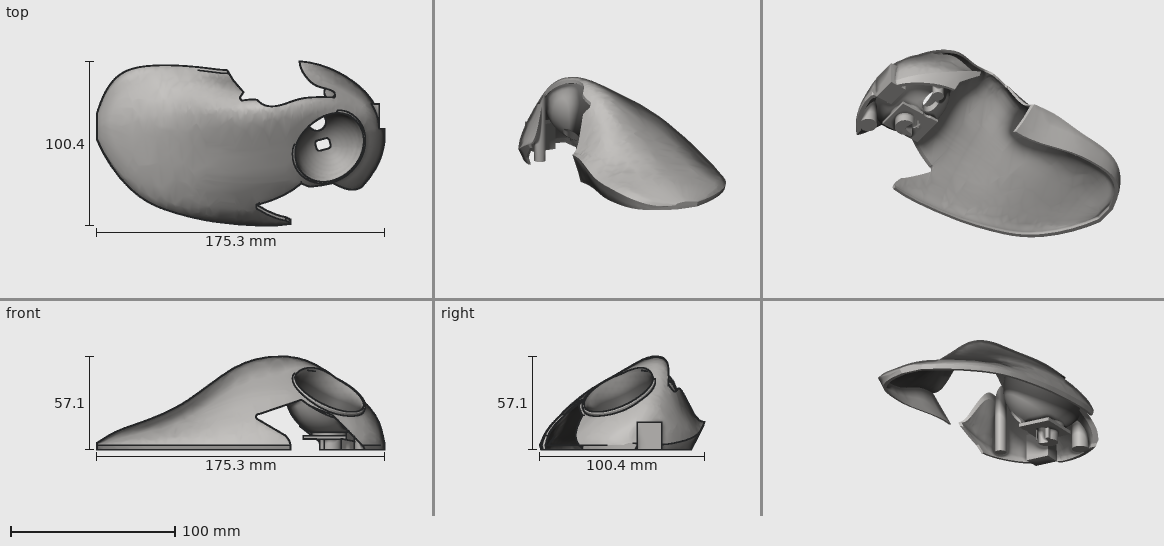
import cadquery as cq
import math

length = 175.3
wall = 2.1
band_height = 2.8
band_inset = 0.9
undercut = 0.5
below_base = -1.8
slope_power = 1.4
slope_steps = 5
min_crest = 0.5
min_back_drop = 0.4
back_steps = 4

stations = [
    (0.0, 52.6, 61.4, 4.2, 68.4, 2.8, 1.0),
    (3.5, 45.2, 61.4, 6.3, 78.0, 2.8, 1.0),
    (11.4, 32.8, 63.1, 10.9, 90.0, 6.1, 0.8),
    (28.0, 16.5, 64.9, 17.2, 97.1, 10.5, 0.5),
    (47.3, 8.0, 68.4, 25.5, 97.8, 13.1, 0.3),
    (66.6, 3.3, 71.9, 37.7, 96.2, 19.3, 0.0),
    (84.1, 1.0, 71.9, 49.5, 95.0, 20.2, 0.0),
    (105.2, 0.0, 73.6, 56.0, 99.0, 21.0, 0.0),
    (124.5, 2.6, 75.4, 54.7, 100.3, 16.7, 0.0),
    (143.7, 11.4, 73.6, 44.7, 95.2, 8.8, 0.3),
    (157.8, 20.2, 68.4, 33.7, 86.8, 5.3, 0.7),
    (166.5, 29.8, 64.9, 25.2, 78.0, 3.5, 1.0),
    (172.1, 39.5, 59.6, 16.1, 67.5, 3.2, 1.0),
    (length, 50.8, 55.2, 4.2, 59.6, 3.2, 1.0),
]

front_notch_depth = 45.5
front_notch_lower = [
    (163.9, below_base), (118.2, below_base), (118.2, 2.8), (117.3, 5.6), (115.2, 8.6), (98.2, 18.5)
]
front_notch_root = [(97.1, 20.3), (99.0, 21.7)]
front_notch_upper = [(124.6, 30.5), (129.7, 26.8), (143.7, 21.0), (162.5, 2.0)]

notch_top_z = 70.1
back_notch_y = 105.2
back_notch_palm = [
    (79.2, 95.2), (83.3, 88.5), (89.4, 81.5), (87.1, 78.0), (88.2, 76.5), (93.8, 77.1), (97.6, 77.0)
]
back_notch_ridge = [(105.2, 73.0), (110.5, 73.3), (122.7, 77.1), (135.0, 78.5), (144.8, 78.2)]
back_notch_claw = [(145.1, 80.0), (135.0, 84.8), (128.3, 89.8), (123.4, 100.5)]
claw_trim = [(115.7, below_base), (137.6, below_base), (135.3, 5.3), (123.4, 14.5), (115.7, 14.5)]
claw_trim_start_y = 82.4

cup_center = cq.Vector(141.5, 48.2, 35.0)
cup_normal = cq.Vector(0.4, -0.38, 0.83)
cup_inner_r = 22.8
cup_outer_r = 26.6
rim_outer_r = 24.2
rim_rise = 0.7
rim_depth = 3.5
large_cut = 105.2
side_hole_x, side_hole_y, side_hole_r = 134.1, 63.5, 5.5
lens_x, lens_y = 137.8, 49.6
lens_length, lens_width, lens_corner, lens_angle = 8.8, 6.3, 1.8, 15.0

plate_x0, plate_x1 = 125.7, 152.0
plate_width = 21.0
plate_z, plate_thickness = 6.5, 2.1
neck_height = 2.1
mount_x, mount_r = 142.9, 6.1
mount_step_x0, mount_step_width = 135.7, 8.8
nose_post_x, nose_post_y, nose_post_r = 162.2, 36.8, 5.3
claw_post_x, claw_post_y, claw_post_r = 142.0, 81.3, 3.5
post_reach = 43.8

cable_x0, cable_x1 = 161.3, 172.1
cable_y0, cable_y1 = 59.3, 74.3
cable_top = 16.7


def section(x, front, ridge, top, back, back_z, bulge, floor, offset):
    """Closed YZ outline at x, drawn inward by offset and closed at z = floor."""
    front_y = front + offset
    back_y = back - offset
    top_z = max(top - offset, band_height + min_crest)
    rim_z = min(back_z, top_z - min_back_drop)
    crest = []
    for i in range(slope_steps + 1):
        u = 1 - math.cos(math.pi / 2 * i / slope_steps)
        rise = (1 - (1 - u) ** slope_power) ** (1 / slope_power)
        crest.append((front_y + u * (ridge - front_y), band_height + rise * (top_z - band_height)))
    for i in range(1, back_steps + 1):
        v = math.sin(math.pi / 2 * i / back_steps)
        hollow = 0.5 + 0.5 * math.cos(math.pi * v)
        dome = math.sqrt(max(0.0, 1 - v * v))
        fall = bulge * dome + (1 - bulge) * hollow
        crest.append((ridge + v * (back_y - ridge), rim_z + fall * (top_z - rim_z)))
    return (
        cq.Workplane("YZ", origin=(x, 0, 0))
        .moveTo(front_y + band_inset, floor)
        .lineTo(*crest[0])
        .spline(crest[1:], includeCurrent=True)
        .lineTo(back_y - undercut * rim_z, floor)
        .close()
        .wires()
        .val()
    )


def body(offset, floor):
    """Solid lofted through all stations, pulled in by offset on every side."""
    shrink = (length - 2 * offset) / length
    wires = [section(offset + s[0] * shrink, *s[1:], floor, offset) for s in stations]
    return cq.Workplane(obj=cq.Solid.makeLoft(wires))


def front_notch():
    """Cutter that opens the front wall below the ball."""
    return (
        cq.Workplane("XZ", origin=(0, below_base, 0))
        .polyline(front_notch_lower)
        .threePointArc(*front_notch_root)
        .polyline(front_notch_upper, includeCurrent=True)
        .close()
        .extrude(-front_notch_depth)
    )


def back_notch():
    """Cutter that opens the back wall between palm and claw."""
    start_x = back_notch_palm[0][0]
    tip_x = back_notch_claw[-1][0]
    return (
        cq.Workplane("XY", origin=(0, 0, below_base))
        .moveTo(start_x, back_notch_y)
        .polyline(back_notch_palm, includeCurrent=True)
        .spline(back_notch_ridge, includeCurrent=True)
        .spline(back_notch_claw, includeCurrent=True)
        .lineTo(tip_x, back_notch_y)
        .close()
        .extrude(notch_top_z)
    )


def claw_underside():
    """Cutter that slopes the lower edge of the claw up to its tip."""
    return (
        cq.Workplane("XZ", origin=(0, claw_trim_start_y, 0))
        .polyline(claw_trim)
        .close()
        .extrude(claw_trim_start_y - back_notch_y)
    )


def along_cup(radius, start, height):
    """Cylinder on the cup axis, from start to start + height above the rim plane."""
    base = cup_center + cup_normal.normalized() * start
    return cq.Workplane(obj=cq.Solid.makeCylinder(radius, height, base, cup_normal))


def ball(radius):
    return cq.Workplane("XY").sphere(radius).translate(cup_center)


def cup_bowl():
    """Solid half ball below the rim plane."""
    return ball(cup_outer_r).intersect(along_cup(large_cut, -large_cut, large_cut))


def cup_rim():
    """Raised ring round the ball opening, still solid across the opening."""
    rim = along_cup(rim_outer_r, -rim_depth, rim_depth + rim_rise)
    return rim.faces(cq.selectors.DirectionMinMaxSelector(cup_normal)).edges().fillet(rim_rise)


def vertical_cylinder(x, y, radius, z0, z1):
    return cq.Workplane("XY", origin=(x, y, z0)).circle(radius).extrude(z1 - z0)


def block(x0, x1, y0, y1, z0, z1):
    return cq.Workplane("XY").box(x1 - x0, y1 - y0, z1 - z0, centered=False).translate((x0, y0, z0))


def sensor_mount():
    """Plate under the cup with a round boss and a step below it."""
    y = cup_center.y
    half_plate = plate_width / 2
    half_step = mount_step_width / 2
    top = plate_z + plate_thickness
    plate = block(plate_x0, plate_x1, y - half_plate, y + half_plate, plate_z, top)
    step = block(mount_step_x0, mount_x, y - half_step, y + half_step, 0, plate_z)
    neck = vertical_cylinder(cup_center.x, y, half_plate, plate_z, top + neck_height)
    boss = vertical_cylinder(mount_x, y, mount_r, 0, top)
    return plate.union(step).union(boss).union(neck)


def cup_holes():
    """Lens slot through the cup bottom and round window in its back side."""
    lens = (
        cq.Workplane("XY")
        .rect(lens_length, lens_width)
        .extrude(cup_center.z)
        .edges("|Z")
        .fillet(lens_corner)
        .rotate((0, 0, 0), (0, 0, 1), lens_angle)
        .translate((lens_x, lens_y, below_base))
    )
    window = vertical_cylinder(side_hole_x, side_hole_y, side_hole_r, below_base, cup_center.z)
    return lens.union(window)


def posts():
    """Round posts under the nose and under the root of the claw."""
    nose_post = vertical_cylinder(nose_post_x, nose_post_y, nose_post_r, 0, post_reach)
    claw_post = vertical_cylinder(claw_post_x, claw_post_y, claw_post_r, 0, post_reach)
    return nose_post.union(claw_post)


notches = front_notch().union(back_notch()).union(claw_underside())
shell = body(0.0, 0.0).cut(body(wall, below_base)).cut(notches)

mid_wall = body(wall / 2, 0.0)
inner_parts = cup_bowl().union(sensor_mount()).union(posts()).intersect(mid_wall)
cable_block = block(cable_x0, cable_x1, cable_y0, cable_y1, 0, cable_top)
cable_recess = block(cable_x1, length, cable_y0, cable_y1, below_base, cable_top)
cavity = ball(cup_inner_r).union(along_cup(cup_inner_r, 0, large_cut))

result = (
    shell.union(inner_parts)
    .union(cup_rim().union(cable_block))
    .cut(cavity.union(cup_holes()).union(cable_recess))
)
result = cq.Workplane(obj=result.val().Solids()[0])